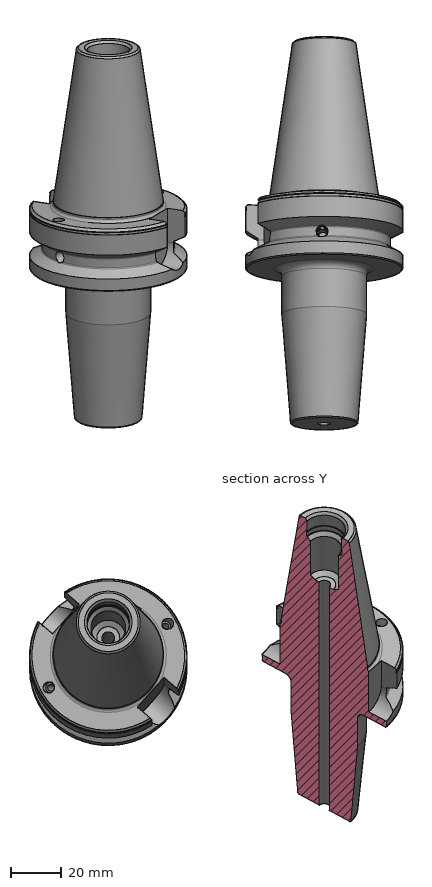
import cadquery as cq
import math


GAUGE_RADIUS = 44.45 / 2
TAPER_RATE = 7 / 48
TAPER_TOP = 65.4
TAPER_BASE = 1.0
TAPER_TIP_CHAMFER = 0.7
RELIEF_RADIUS = 21.9
RELIEF_FILLET = 1.3

FLANGE_RADIUS = 63 / 2
FLANGE_TOP = -1.0
FLANGE_BOTTOM = -27.0
FLANGE_TOP_CHAMFER = 1.0
FLANGE_BOTTOM_CHAMFER = 0.5
RING_TOP = -2.3
RING_WIDTH = 1.0
RING_DEPTH = 0.3

V_MIDDLE = -16.7
V_WIDTH = 10.0
V_FLOOR_RADIUS = 53 / 2
V_FLANK_ANGLE = math.radians(30)
V_FLOOR_FILLET = 0.5

SLOT_WIDTH = 16.1
SLOT_FLOOR = 22.6
SLOT_BOTTOM = -23.2

NOSE_BOTTOM = -90.0
NECK_RADIUS = 34 / 2
NECK_FILLET = 3.0
NOSE_TIP_RADIUS = 27 / 2
NOSE_CONE_ANGLE = math.radians(4.5)
NOSE_CHAMFER = 0.5

PILOT_RADIUS = 17 / 2
PILOT_CHAMFER = 1.0
PILOT_DEPTH = 9.8
PILOT_RELIEF_WIDTH = 2.7
PILOT_RELIEF_DEPTH = 0.3
THREAD_RADIUS = 13.9 / 2
THREAD_DEPTH = 30.0
DRILL_POINT_RADIUS = 4.6
DRILL_POINT_SLOPE = math.tan(math.radians(30))
COOLANT_RADIUS = 5 / 2

PORT_ANGLES = (70, 250)
FACE_PORT_CIRCLE_RADIUS = 27.1
FACE_PORT_TILT = 20.0
FACE_PORT_RADIUS = 4.4 / 2
FACE_PORT_DEPTH = 3.0
FACE_PASSAGE_RADIUS = 2.8 / 2
FACE_PORT_OVERRUN = 2.0
CROSS_PORT_RADIUS = 4.7 / 2
CROSS_PORT_DEPTH = 5.5
CROSS_PASSAGE_RADIUS = 3.8 / 2
CROSS_PASSAGE_END = 14.0


def taper_radius(z):
    return GAUGE_RADIUS - TAPER_RATE * z


def revolve(profile):
    return profile.close().revolve(360, (0, 0, 0), (0, 1, 0))


def make_body():
    tip_radius = taper_radius(TAPER_TOP)
    tip_chamfer_bottom = TAPER_TOP - TAPER_TIP_CHAMFER
    arc_middle = 1 - math.sqrt(0.5)
    cone_top = NOSE_BOTTOM + (NECK_RADIUS - NOSE_TIP_RADIUS) / math.tan(NOSE_CONE_ANGLE)
    nose_chamfer_radius = NOSE_TIP_RADIUS + NOSE_CHAMFER * math.tan(NOSE_CONE_ANGLE)
    profile = (
        cq.Workplane("XZ")
        .moveTo(0, TAPER_TOP)
        .lineTo(tip_radius - TAPER_TIP_CHAMFER, TAPER_TOP)
        .lineTo(taper_radius(tip_chamfer_bottom), tip_chamfer_bottom)
        .lineTo(taper_radius(TAPER_BASE), TAPER_BASE)
        .lineTo(RELIEF_RADIUS, TAPER_BASE)
        .lineTo(RELIEF_RADIUS, FLANGE_TOP + RELIEF_FILLET)
        .threePointArc(
            (RELIEF_RADIUS + arc_middle * RELIEF_FILLET, FLANGE_TOP + arc_middle * RELIEF_FILLET),
            (RELIEF_RADIUS + RELIEF_FILLET, FLANGE_TOP),
        )
        .lineTo(FLANGE_RADIUS - FLANGE_TOP_CHAMFER, FLANGE_TOP)
        .lineTo(FLANGE_RADIUS, FLANGE_TOP - FLANGE_TOP_CHAMFER)
        .lineTo(FLANGE_RADIUS, FLANGE_BOTTOM + FLANGE_BOTTOM_CHAMFER)
        .lineTo(FLANGE_RADIUS - FLANGE_BOTTOM_CHAMFER, FLANGE_BOTTOM)
        .lineTo(NECK_RADIUS + NECK_FILLET, FLANGE_BOTTOM)
        .threePointArc(
            (NECK_RADIUS + arc_middle * NECK_FILLET, FLANGE_BOTTOM - arc_middle * NECK_FILLET),
            (NECK_RADIUS, FLANGE_BOTTOM - NECK_FILLET),
        )
        .lineTo(NECK_RADIUS, cone_top)
        .lineTo(nose_chamfer_radius, NOSE_BOTTOM + NOSE_CHAMFER)
        .lineTo(NOSE_TIP_RADIUS - NOSE_CHAMFER, NOSE_BOTTOM)
        .lineTo(0, NOSE_BOTTOM)
    )
    return revolve(profile)


def make_v_groove():
    flank_height = (FLANGE_RADIUS - V_FLOOR_RADIUS) * math.tan(V_FLANK_ANGLE)
    half_width = V_WIDTH / 2
    half_floor = half_width - flank_height
    profile = (
        cq.Workplane("XZ")
        .moveTo(FLANGE_RADIUS, V_MIDDLE + half_width)
        .lineTo(V_FLOOR_RADIUS, V_MIDDLE + half_floor)
        .lineTo(V_FLOOR_RADIUS, V_MIDDLE - half_floor)
        .lineTo(FLANGE_RADIUS, V_MIDDLE - half_width)
    )
    floor_edges = cq.selectors.RadiusNthSelector(0)
    return revolve(profile).edges(floor_edges).fillet(V_FLOOR_FILLET)


def make_ring_groove():
    ring = cq.Workplane("XY", origin=(0, 0, RING_TOP - RING_WIDTH)).circle(FLANGE_RADIUS)
    return ring.circle(FLANGE_RADIUS - RING_DEPTH).extrude(RING_WIDTH)


def make_drive_slot(side):
    """Round-bottomed slot through the rim; side is +1 or -1 along X."""
    radius = SLOT_WIDTH / 2
    arc_centre = SLOT_BOTTOM + radius
    return (
        cq.Workplane("YZ", origin=(side * SLOT_FLOOR, 0, 0))
        .moveTo(-radius, TAPER_BASE)
        .lineTo(-radius, arc_centre)
        .threePointArc((0, SLOT_BOTTOM), (radius, arc_centre))
        .lineTo(radius, TAPER_BASE)
        .close()
        .extrude(side * FLANGE_RADIUS)
    )


def make_bore():
    pilot_bottom = TAPER_TOP - PILOT_DEPTH
    relief_radius = PILOT_RADIUS + PILOT_RELIEF_DEPTH
    relief_top = pilot_bottom + PILOT_RELIEF_WIDTH
    thread_top = pilot_bottom - (PILOT_RADIUS - THREAD_RADIUS)
    thread_bottom = TAPER_TOP - THREAD_DEPTH
    point_bottom = thread_bottom - (THREAD_RADIUS - DRILL_POINT_RADIUS) * DRILL_POINT_SLOPE
    profile = (
        cq.Workplane("XZ")
        .moveTo(0, TAPER_TOP)
        .lineTo(PILOT_RADIUS + PILOT_CHAMFER, TAPER_TOP)
        .lineTo(PILOT_RADIUS, TAPER_TOP - PILOT_CHAMFER)
        .lineTo(PILOT_RADIUS, relief_top)
        .lineTo(relief_radius, relief_top)
        .lineTo(relief_radius, pilot_bottom)
        .lineTo(PILOT_RADIUS, pilot_bottom)
        .lineTo(THREAD_RADIUS, thread_top)
        .lineTo(THREAD_RADIUS, thread_bottom)
        .lineTo(DRILL_POINT_RADIUS, point_bottom)
        .lineTo(COOLANT_RADIUS, point_bottom)
        .lineTo(COOLANT_RADIUS, NOSE_BOTTOM)
        .lineTo(0, NOSE_BOTTOM)
    )
    return revolve(profile)


def make_face_port():
    """Stepped hole from the flange face, leaning inward until it reaches the cross port."""
    length = (FLANGE_TOP - V_MIDDLE) / math.cos(math.radians(FACE_PORT_TILT))
    mouth = (FACE_PORT_CIRCLE_RADIUS, 0, FLANGE_TOP)
    tilt_axis_end = (FACE_PORT_CIRCLE_RADIUS, 1, FLANGE_TOP)
    counterbore = (
        cq.Workplane("XY", origin=mouth)
        .workplane(offset=-FACE_PORT_DEPTH)
        .circle(FACE_PORT_RADIUS)
        .extrude(FACE_PORT_DEPTH + FACE_PORT_OVERRUN)
    )
    passage = cq.Workplane("XY", origin=mouth).circle(FACE_PASSAGE_RADIUS).extrude(-length)
    return counterbore.union(passage).rotate(mouth, tilt_axis_end, FACE_PORT_TILT)


def make_cross_port():
    """Stepped radial hole from the V-groove, blind toward the axis."""
    step = V_FLOOR_RADIUS - CROSS_PORT_DEPTH
    counterbore = (
        cq.Workplane("YZ", origin=(step, 0, V_MIDDLE))
        .circle(CROSS_PORT_RADIUS)
        .extrude(FLANGE_RADIUS - step)
    )
    passage = (
        cq.Workplane("YZ", origin=(CROSS_PASSAGE_END, 0, V_MIDDLE))
        .circle(CROSS_PASSAGE_RADIUS)
        .extrude(step - CROSS_PASSAGE_END)
    )
    return counterbore.union(passage)


result = make_body().cut(make_v_groove()).cut(make_ring_groove()).cut(make_bore())
for slot_side in (1, -1):
    result = result.cut(make_drive_slot(slot_side))
coolant_port = make_face_port().union(make_cross_port())
for port_angle in PORT_ANGLES:
    result = result.cut(coolant_port.rotate((0, 0, 0), (0, 0, 1), port_angle))